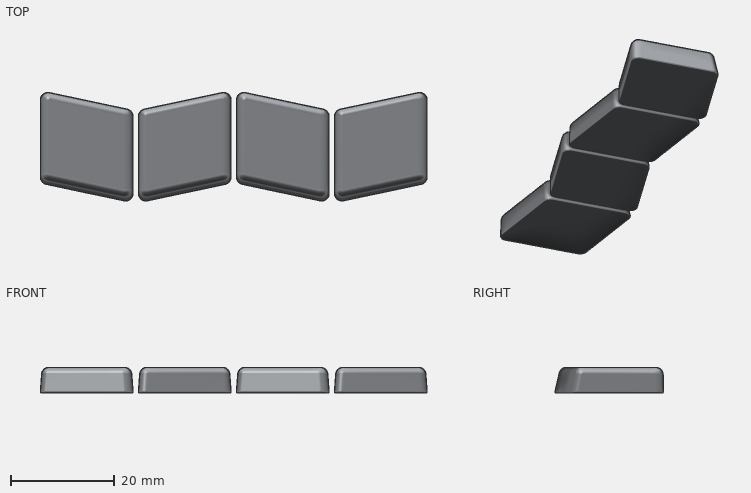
import cadquery as cq
import math

TILE_COUNT = 4
ROW_LENGTH = 74.95
TILE_WIDTH = 18.0
TILE_PITCH = (ROW_LENGTH - TILE_WIDTH) / (TILE_COUNT - 1)

TILE_DEPTH = 17.9
TILE_HEIGHT = 5.0
SKEW_ANGLE = 12.0
SIDE_DRAFT_ANGLE = 4.2
FRONT_LEAN_ANGLE = 12.0

CORNER_RADIUS = 1.5
RIM_RADIUS = 1.5
BASE_RADIUS = 0.3


def wall_inset(angle, z):
    """Inward shift at height z of a wall leaning at the angle, in degrees, from the widest level."""
    return (z - BASE_RADIUS) * math.tan(math.radians(angle))


def side_walls_prism():
    """Prism straight along Y, longer than a tile, bounded by the drafted left and right walls."""
    base_half = TILE_WIDTH / 2 - wall_inset(SIDE_DRAFT_ANGLE, 0)
    top_half = TILE_WIDTH / 2 - wall_inset(SIDE_DRAFT_ANGLE, TILE_HEIGHT)
    return (
        cq.Workplane("XZ")
        .polyline([(-base_half, 0), (base_half, 0), (top_half, TILE_HEIGHT), (-top_half, TILE_HEIGHT)])
        .close()
        .extrude(TILE_DEPTH, both=True)
    )


def front_back_prism(lean):
    """Prism sheared along the skewed edges, wider than a tile, bounded by its front and back walls."""
    start_x = -TILE_WIDTH
    shear = cq.Vector(1, lean * math.tan(math.radians(SKEW_ANGLE)), 0)
    start_y = shear.y * start_x
    back = TILE_DEPTH / 2
    base_front = -TILE_DEPTH / 2 + wall_inset(FRONT_LEAN_ANGLE, 0)
    top_front = -TILE_DEPTH / 2 + wall_inset(FRONT_LEAN_ANGLE, TILE_HEIGHT)
    profile = [(base_front, 0), (back, 0), (back, TILE_HEIGHT), (top_front, TILE_HEIGHT)]
    wire = cq.Wire.makePolygon([cq.Vector(start_x, start_y + y, z) for y, z in profile], close=True)
    return cq.Workplane(cq.Solid.extrudeLinear(wire, [], shear * (2 * TILE_WIDTH)))


def make_tile(center_x, lean):
    """One tile; its front and back edges climb toward +X for lean +1 and fall for lean -1."""
    block = side_walls_prism().intersect(front_back_prism(lean))
    tile = block.edges("not(<Z or >Z)").fillet(CORNER_RADIUS)
    tile = tile.faces(">Z").edges().fillet(RIM_RADIUS)
    tile = tile.faces("<Z").edges().fillet(BASE_RADIUS)
    return tile.translate((center_x, 0, 0))


tiles = []
for index in range(TILE_COUNT):
    tile_x = (index - (TILE_COUNT - 1) / 2) * TILE_PITCH
    tile_lean = -1 if index % 2 == 0 else 1
    tiles.append(make_tile(tile_x, tile_lean).val())

result = cq.Compound.makeCompound(tiles)